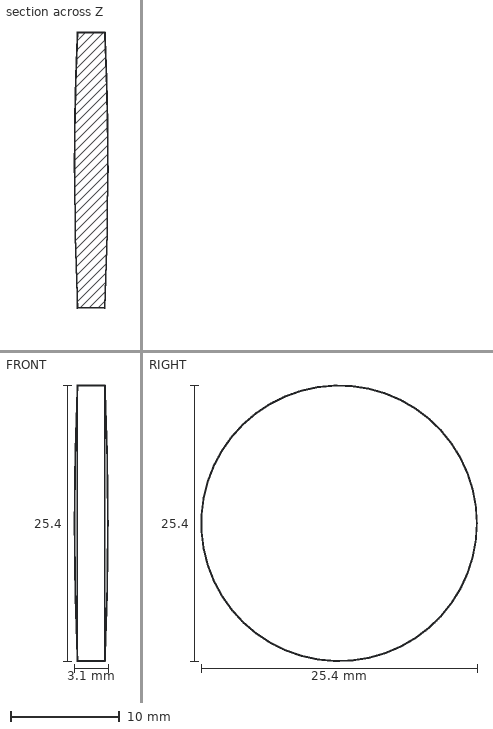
import cadquery as cq

diameter = 25.4
centre_thickness = 3.1
edge_thickness = 2.55

radius = diameter / 2
half_centre = centre_thickness / 2
half_edge = edge_thickness / 2

sag = half_centre - half_edge
face_radius = (radius**2 + sag**2) / (2 * sag)


def face_point(side, height):
    """Point on the convex face at a given distance from the axis."""
    drop = face_radius - (face_radius**2 - height**2) ** 0.5
    return (side * (half_centre - drop), height)


half_section = (
    cq.Workplane("XY")
    .moveTo(-half_centre, 0)
    .threePointArc(face_point(-1, radius / 2), (-half_edge, radius))
    .lineTo(half_edge, radius)
    .threePointArc(face_point(1, radius / 2), (half_centre, 0))
    .close()
)

result = half_section.revolve(360, (0, 0, 0), (1, 0, 0))